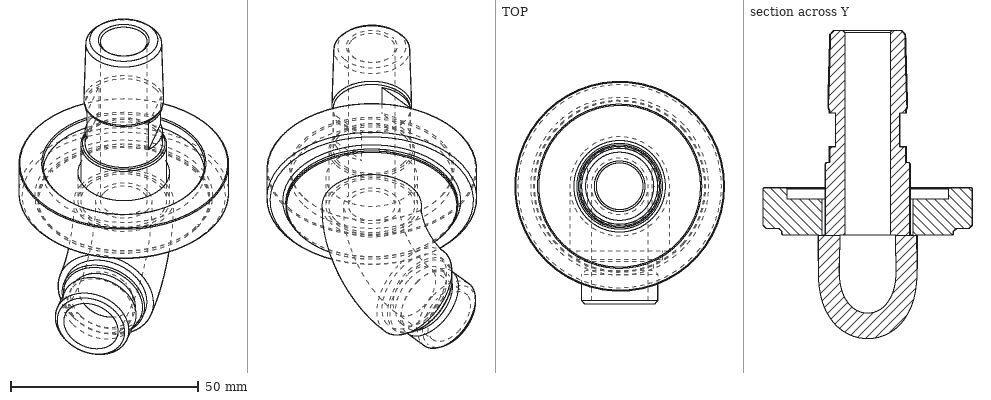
import cadquery as cq


elbow_radius = 13.3
bend_radius = 17.35
elbow_bore_radius = 7.55
elbow_top = 18.8

collar_radius = 11.45
collar_chamfer = 0.4

overall_height = 86.75
nipple_top = overall_height - elbow_radius
nipple_collar_top = 38.3
neck_radius = 10.3
neck_top = 52.1
thread_start = 52.9
thread_full = 53.4
thread_root_radius = 10.7
thread_tip_radius = 10.15
tip_chamfer_height = 1.1
tip_chamfer_width = 1.0
nipple_bore_radius = 6.25
bore_chamfer = 0.5
flat_bottom = 42.4
flat_top = 51.35
flat_half_distance = 8.6

flange_radius = 28.0
flange_bottom = 20.6
flange_top = 31.5
flange_top_chamfer = 0.3
flange_bottom_chamfer = 0.9
recess_radius = 21.6
recess_depth = 3.0
recess_chamfer = 0.35
hole_radius = 12.2
boss_radius = 23.0
boss_root_radius = 23.8
boss_taper_height = 0.8
boss_chamfer = 0.3

outlet_end = 31.5
outlet_collar_end = 20.0
outlet_groove_end = 22.5
outlet_groove_radius = 9.0
outlet_thread_radius = 10.2
outlet_thread_lead_in = 1.0
outlet_end_chamfer_length = 1.0
outlet_end_chamfer_width = 0.9


def revolve_profile(points):
    """Turn a closed (radius, height) outline around the Z axis."""
    return cq.Workplane("XZ").polyline(points).close().revolve(360, (0, 0, 0), (0, 1, 0))


def make_elbow():
    """Pipe bend with a short straight length at its upper end."""
    bend = (
        cq.Workplane("XY")
        .workplane(offset=bend_radius)
        .circle(elbow_radius)
        .circle(elbow_bore_radius)
        .revolve(90, (0, -bend_radius, 0), (-1, -bend_radius, 0))
    )
    straight = (
        cq.Workplane("XY")
        .workplane(offset=bend_radius)
        .circle(elbow_radius)
        .circle(elbow_bore_radius)
        .extrude(elbow_top - bend_radius)
    )
    return bend.union(straight)


def make_flange():
    """Round flange with a recess above, a boss below and a clearance hole."""
    recess_floor = flange_top - recess_depth
    return revolve_profile([
        (hole_radius, elbow_top),
        (boss_radius - boss_chamfer, elbow_top),
        (boss_radius, elbow_top + boss_chamfer),
        (boss_radius, flange_bottom - boss_taper_height),
        (boss_root_radius, flange_bottom),
        (flange_radius - flange_bottom_chamfer, flange_bottom),
        (flange_radius, flange_bottom + flange_bottom_chamfer),
        (flange_radius, flange_top - flange_top_chamfer),
        (flange_radius - flange_top_chamfer, flange_top),
        (recess_radius + recess_chamfer, flange_top),
        (recess_radius, flange_top - recess_chamfer),
        (recess_radius, recess_floor),
        (hole_radius, recess_floor),
    ])


def make_nipple():
    """Upper nipple with a collar, a neck with two wrench flats and a tapered thread."""
    body = revolve_profile([
        (nipple_bore_radius, elbow_top),
        (collar_radius, elbow_top),
        (collar_radius, nipple_collar_top - collar_chamfer),
        (collar_radius - collar_chamfer, nipple_collar_top),
        (neck_radius, nipple_collar_top),
        (neck_radius, neck_top),
        (thread_root_radius, thread_start),
        (thread_root_radius, thread_full),
        (thread_tip_radius, nipple_top - tip_chamfer_height),
        (thread_tip_radius - tip_chamfer_width, nipple_top),
        (nipple_bore_radius + bore_chamfer, nipple_top),
        (nipple_bore_radius, nipple_top - bore_chamfer),
    ])
    cutter_depth = collar_radius - flat_half_distance
    for side in (-1, 1):
        flat_cutter = (
            cq.Workplane("XY")
            .box(cutter_depth, 2 * collar_radius, flat_top - flat_bottom)
            .translate((side * (flat_half_distance + cutter_depth / 2), 0, (flat_bottom + flat_top) / 2))
        )
        body = body.cut(flat_cutter)
    return body


def make_outlet():
    """Threaded outlet, turned around Z and then tipped over to point along -Y."""
    upright = revolve_profile([
        (elbow_bore_radius, bend_radius),
        (collar_radius, bend_radius),
        (collar_radius, outlet_collar_end - collar_chamfer),
        (collar_radius - collar_chamfer, outlet_collar_end),
        (outlet_groove_radius, outlet_collar_end),
        (outlet_groove_radius, outlet_groove_end),
        (outlet_thread_radius, outlet_groove_end + outlet_thread_lead_in),
        (outlet_thread_radius, outlet_end - outlet_end_chamfer_length),
        (outlet_thread_radius - outlet_end_chamfer_width, outlet_end),
        (elbow_bore_radius, outlet_end),
    ])
    return upright.rotate((0, 0, 0), (1, 0, 0), 90)


elbow = make_elbow()
flange = make_flange()
nipple = make_nipple()
outlet = make_outlet()

result = cq.Compound.makeCompound([elbow.val(), flange.val(), nipple.val(), outlet.val()])